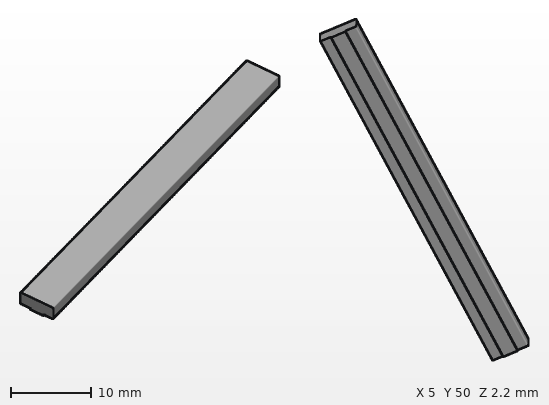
import cadquery as cq

bar_width = 5.0
bar_length = 50.0
bar_height = 2.0
edge_radius = 0.2

strip_width = 2.0
strip_height = 0.2


def centred_block(width, height, bottom):
    """Full-length block centred on X and Y, with its underside at the given height."""
    block = cq.Workplane("XY").box(width, bar_length, height, centered=(True, True, False))
    return block.translate((0, 0, bottom))


bar = centred_block(bar_width, bar_height, 0).edges("|Y").fillet(edge_radius)
strip = centred_block(strip_width, strip_height, -strip_height)

result = bar.union(strip)